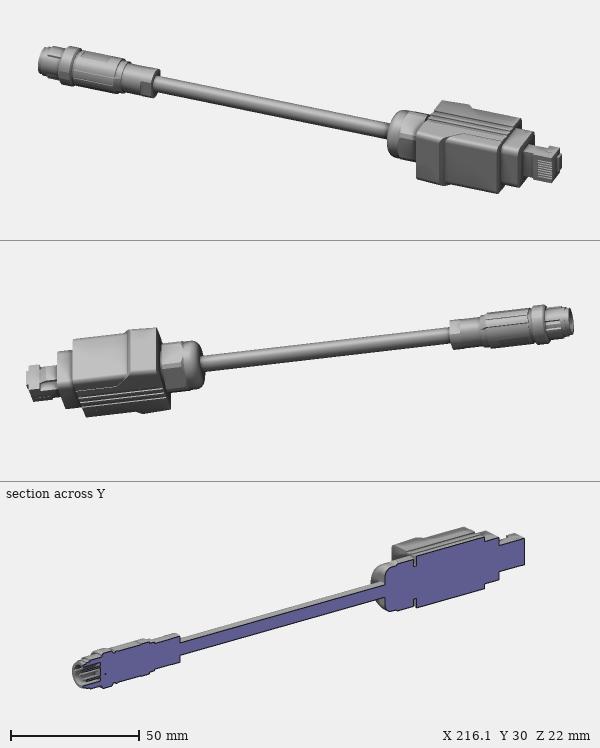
import cadquery as cq
import math


tip_radius = 5.3
tip_end = 1.5
barrel_radius = 5.8
bore_radius = 4.2
bore_depth = 8.5
inner_key_width = 1.6
inner_key_height = 1.2
pin_radius = 0.45
pin_start = 1.5
pin_circle_radius = 2.7
outer_pin_count = 7
pad_start = 3.3
pad_radius = 6.4
pad_width = 7.0
notch_floor = 4.6
notch_top = -2.2
notch_bottom = -4.0

collar_start = 9.2
collar_end = 14.7
collar_radius = 7.7
collar_chamfer = 0.7
collar_flat_height = 3.2
neck_radius = 6.6
grip_start = 15.7
grip_end = 32.5
grip_radius = 7.1
grip_pocket_start = 16.9
grip_pocket_end = 28.2
grip_pocket_width = 5.0
rib_radius = 7.6
rib_height = 5.8
rib_groove_height = 0.6
rib_groove_depth = 0.4
shoulder_end = 35.1
shoulder_radius = 6.4
sleeve_end = 47.4
sleeve_radius = 5.75
sleeve_ring_start = 43.1
sleeve_ring_radius = 5.85
sleeve_flat_height = 6.0

cable_radius = 3.2
nut_start = 147.1
dome_end = 152.5
dome_radius = 9.55
dome_fillet = 3.2
hex_end = 161.1
hex_width = 19.0
hex_corner_width = 20.9
hex_chamfer = 1.0
gland_neck_radius = 7.2

housing_start = 162.3
housing_end = 195.7
housing_height = 22.0
front_half_width = 14.2
wing_half_width = 15.005
wing_end = 172.3
spine_half_width = 7.5
spine_start = 179.4
rear_half_width = 13.2
rear_step = 0.2
housing_fillet = 2.2
ridge_groove_depth = 0.5
ridge_inner = 1.0
ridge_outer = 2.2
ridge_field = 4.3
flange_end = 202.8
flange_size = 18.0
flange_fillet = 2.9

plug_width = 11.4
body_bottom = -3.2
body_top = 2.6
plug_end = 215.1
shell_start = 207.3
shell_bottom = -4.2
shell_top = 4.5
shell_margin = 0.1
shell_wall_end = 213.6
head_start = 210.8
head_bottom = -0.3
lip_top = -1.9
contact_count = 8
contact_pitch = 1.02
contact_slot_width = 0.6
contact_slot_depth = 0.8
contact_start = 209.2
latch_width = 6.4
latch_top = 5.8
latch_thickness = 1.2
latch_bend = 207.8
latch_tip_bottom = 1.2
latch_tip_end = 216.1


def cylinder(start, end, radius):
    return cq.Workplane("YZ", origin=(start, 0, 0)).circle(radius).extrude(end - start)


def block(start, end, y_low, y_high, z_low, z_high):
    size = (end - start, y_high - y_low, z_high - z_low)
    return cq.Workplane("XY").box(*size, centered=False).translate((start, y_low, z_low))


def plate(points, height):
    """An XY outline extruded evenly above and below the middle plane."""
    return cq.Workplane("XY").polyline(points).close().extrude(height / 2, both=True)


def hexagon(start, end, width_across_flats, turn):
    """A hexagonal bar whose corners point along Z when turn is 90 degrees."""
    corner_diameter = width_across_flats / math.cos(math.pi / 6)
    bar = cq.Workplane("YZ", origin=(start, 0, 0)).polygon(6, corner_diameter).extrude(end - start)
    return bar.rotate((0, 0, 0), (1, 0, 0), turn)


def make_plug_face():
    barrel = cylinder(0, tip_end, tip_radius).union(cylinder(tip_end, collar_start, barrel_radius))
    pads = cylinder(pad_start, collar_start, pad_radius).intersect(
        block(pad_start, collar_start, -pad_width / 2, pad_width / 2, -pad_radius, pad_radius)
    )
    face = barrel.union(pads).cut(cylinder(0, bore_depth, bore_radius))

    notch = block(pad_start, collar_start, notch_floor, barrel_radius, notch_bottom, notch_top)
    face = face.cut(notch).cut(notch.mirror("XZ"))

    key = block(
        0, bore_depth,
        bore_radius - inner_key_height, (bore_radius + tip_radius) / 2,
        -inner_key_width / 2, inner_key_width / 2,
    )
    pin_places = [(0, 0)]
    for index in range(outer_pin_count):
        angle = math.pi + 2 * math.pi * index / outer_pin_count
        pin_places.append((pin_circle_radius * math.cos(angle), pin_circle_radius * math.sin(angle)))
    pins = (
        cq.Workplane("YZ", origin=(pin_start, 0, 0))
        .pushPoints(pin_places)
        .circle(pin_radius)
        .extrude(collar_start - pin_start)
    )
    return face.union(key).union(pins)


def make_collar():
    collar = cylinder(collar_start, collar_end, collar_radius).edges().chamfer(collar_chamfer)
    flat_y = math.sqrt(collar_radius**2 - (collar_flat_height / 2) ** 2)
    collar = collar.intersect(
        block(collar_start, collar_end, -flat_y, flat_y, -collar_radius, collar_radius)
    )
    return collar.union(cylinder(collar_end, grip_start, neck_radius))


def make_grip():
    grip = cylinder(grip_start, grip_end, grip_radius)
    pocket_floor = math.sqrt(grip_radius**2 - (grip_pocket_width / 2) ** 2)
    pocket = block(
        grip_pocket_start, grip_pocket_end,
        -grip_pocket_width / 2, grip_pocket_width / 2,
        pocket_floor, grip_radius,
    )
    grip = grip.cut(pocket).cut(pocket.mirror("XY"))

    rib_body = cylinder(grip_start, shoulder_end, rib_radius)
    rib_body = rib_body.faces(">X").chamfer(shoulder_end - grip_end, rib_radius - shoulder_radius)
    ribs = rib_body.intersect(
        block(grip_start, shoulder_end, -rib_radius, rib_radius, -rib_height / 2, rib_height / 2)
    )
    grip = grip.union(cylinder(grip_end, shoulder_end, shoulder_radius)).union(ribs)
    groove_floor = rib_radius - rib_groove_depth
    groove = block(
        grip_start, grip_end, groove_floor, rib_radius, -rib_groove_height / 2, rib_groove_height / 2
    )
    return grip.cut(groove).cut(groove.mirror("XZ"))


def make_sleeve():
    sleeve = cylinder(shoulder_end, sleeve_ring_start, sleeve_radius)
    ring = cylinder(sleeve_ring_start, sleeve_end, sleeve_ring_radius)
    flat_y = math.sqrt(sleeve_ring_radius**2 - (sleeve_flat_height / 2) ** 2)
    ring = ring.intersect(
        block(
            sleeve_ring_start, sleeve_end, -flat_y, flat_y, -sleeve_ring_radius, sleeve_ring_radius
        )
    )
    return sleeve.union(ring)


def make_gland():
    dome = cylinder(nut_start, dome_end, dome_radius).faces("<X").edges().fillet(dome_fillet)
    chamfer_cone = (
        cq.Workplane("XY")
        .moveTo(dome_end, 0)
        .lineTo(dome_end, dome_radius)
        .lineTo(dome_end + hex_chamfer, hex_corner_width / 2)
        .lineTo(dome_end + hex_chamfer, hex_corner_width)
        .lineTo(hex_end, hex_corner_width)
        .lineTo(hex_end, 0)
        .close()
        .revolve(360, (0, 0, 0), (1, 0, 0))
    )
    nut = (
        hexagon(dome_end, hex_end, hex_width, 90)
        .intersect(hexagon(dome_end, hex_end, hex_corner_width, 0))
        .intersect(chamfer_cone)
    )
    return dome.union(nut).union(cylinder(hex_end, housing_start, gland_neck_radius))


def make_housing():
    half_outline = [
        (housing_start, front_half_width),
        (wing_end, wing_half_width),
        (spine_start, spine_half_width),
        (housing_end, spine_half_width),
    ]
    outline = half_outline + [(x, -y) for x, y in reversed(half_outline)]
    front = plate(outline, housing_height)
    wing_middle = (housing_start + wing_end) / 2
    wing_y = (front_half_width + wing_half_width) / 2
    for y in (-wing_y, wing_y):
        for z in (-housing_height / 2, housing_height / 2):
            front = front.edges(cq.selectors.NearestToPointSelector((wing_middle, y, z))).fillet(
                housing_fillet
            )

    rear_half_height = housing_height / 2 - rear_step
    rear = block(
        wing_end, housing_end, -rear_half_width, rear_half_width, -rear_half_height, rear_half_height
    )
    rear = rear.edges("|X").fillet(housing_fillet)
    housing = front.union(rear)

    groove_floor = housing_height / 2 - ridge_groove_depth
    for y_low, y_high in (
        (-ridge_field, -ridge_outer),
        (-ridge_inner, ridge_inner),
        (ridge_outer, ridge_field),
    ):
        groove = block(housing_start, housing_end, y_low, y_high, groove_floor, housing_height / 2)
        housing = housing.cut(groove).cut(groove.mirror("XY"))

    half_flange = flange_size / 2
    flange = block(housing_end, flange_end, -half_flange, half_flange, -half_flange, half_flange)
    return housing.union(flange.edges("|X").fillet(flange_fillet))


def make_rj45_plug():
    half_width = plug_width / 2
    body_half = half_width - shell_margin
    body = block(flange_end, shell_wall_end, body_bottom, body_top, -body_half, body_half)
    shell = plate(
        [
            (shell_start, shell_bottom),
            (plug_end, shell_bottom),
            (plug_end, shell_top),
            (head_start, shell_top),
            (head_start, head_bottom),
            (shell_wall_end, head_bottom),
            (shell_wall_end, lip_top),
            (shell_start, lip_top),
        ],
        plug_width,
    )
    plug = body.union(shell)

    first_slot = -contact_pitch * (contact_count - 1) / 2
    for index in range(contact_count):
        slot_z = first_slot + index * contact_pitch
        plug = plug.cut(
            block(
                contact_start, plug_end,
                shell_bottom, shell_bottom + contact_slot_depth,
                slot_z - contact_slot_width / 2, slot_z + contact_slot_width / 2,
            )
        )

    arm = plate(
        [
            (flange_end, latch_top),
            (latch_bend, latch_top),
            (head_start, shell_top),
            (head_start, shell_top - latch_thickness / 2),
            (latch_bend, latch_top - latch_thickness),
            (flange_end, latch_top - latch_thickness),
        ],
        latch_width,
    )
    tip = block(
        plug_end, latch_tip_end, latch_tip_bottom, shell_top, -latch_width / 2, latch_width / 2
    )
    return plug.union(arm).union(tip)


result = (
    make_plug_face()
    .union(make_collar())
    .union(make_grip())
    .union(make_sleeve())
    .union(cylinder(sleeve_end, nut_start, cable_radius))
    .union(make_gland())
    .union(make_housing())
    .union(make_rj45_plug())
)